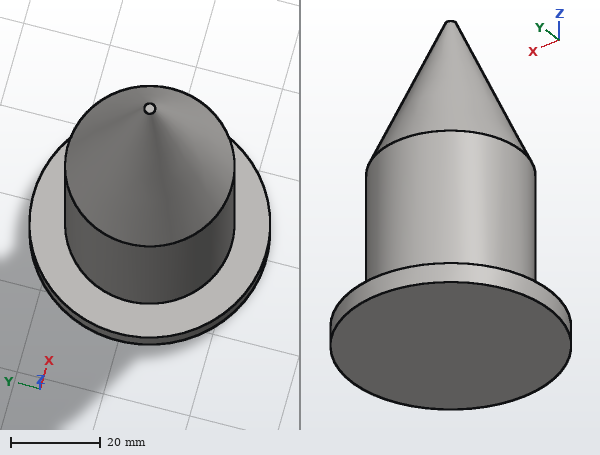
import cadquery as cq

total_height = 85.0
flange_diameter = 54.0
flange_thickness = 5.0
body_diameter = 38.0
cone_height = 40.0
tip_diameter = 2.5

cone_base_z = total_height - cone_height
flange_radius = flange_diameter / 2
body_radius = body_diameter / 2
tip_radius = tip_diameter / 2

half_section = (
    cq.Workplane("XZ")
    .moveTo(0, 0)
    .lineTo(flange_radius, 0)
    .lineTo(flange_radius, flange_thickness)
    .lineTo(body_radius, flange_thickness)
    .lineTo(body_radius, cone_base_z)
    .lineTo(tip_radius, total_height)
    .lineTo(0, total_height)
    .close()
)

result = half_section.revolve(360, (0, 0, 0), (0, 1, 0))